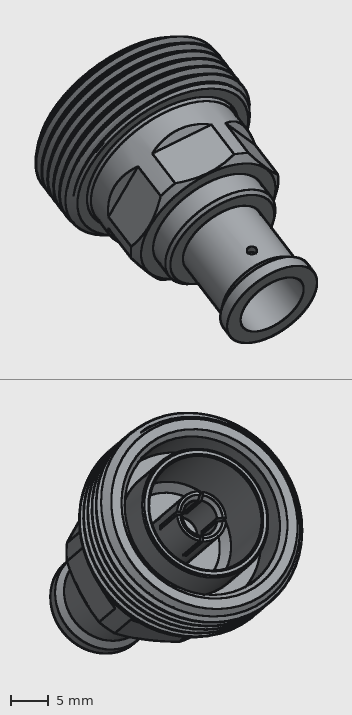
import cadquery as cq
import math

clearance = 0.4


length = 38.2
body_front = 0.5
thread_end = 10.55
neck_radius = 11.45
neck_relief = 0.5
neck_relief_rise = 0.3
hex_end = 22.05
hex_end_chamfer = 0.9
hex_end_radius = 10.43
collar_radius = 8.55
collar_end = 25.6
collar_chamfer = 0.5
tube_radius = 6.1
flare_start = 35.45
flare_radius = 7.0
flare_cone = 1.0

thread_diameter = 29.0
thread_radius = thread_diameter / 2
thread_root_radius = 13.68
six_pitch_length = 9.0
thread_pitch = six_pitch_length / 6
thread_flank_angle = 30.0
thread_crest_width = 0.23
thread_overlap = 0.1
thread_phase = 1.3
thread_face_radius = 13.25

hex_apothem = 10.5
hex_start = 15.35

groove_floor = 8.02
groove_radius = 11.05
groove_chamfer = 0.75
sleeve_radius = 8.98
sleeve_bore_radius = 8.0
sleeve_chamfer = 0.23
sleeve_bore_chamfer = 0.2
cavity_floor = 12.22
cavity_floor_radius = 6.85
cavity_cone_start = cavity_floor - (sleeve_bore_radius - cavity_floor_radius)

contact_front = 1.55
contact_radius = 3.48
contact_bore_radius = 2.45
contact_mouth_radius = 3.0
contact_bore_end = 9.15
slot_width = 0.45
slot_end = 7.65

cable_bore_radius = 4.9
cable_bore_depth = length - collar_end
vent_radius = 0.65
vent_x = 33.1


def turned(points):
    """Solid of revolution about X from (x, radius) points."""
    return cq.Workplane("XY").polyline(points).close().revolve(360, (0, 0, 0), (1, 0, 0))


def make_body():
    """Outer turned shape, with the threaded stretch at its root radius."""
    root_rise = thread_root_radius - thread_face_radius
    return turned([
        (0, 0),
        (0, sleeve_radius - sleeve_chamfer),
        (sleeve_chamfer, sleeve_radius),
        (body_front, sleeve_radius),
        (body_front, thread_face_radius),
        (body_front + root_rise, thread_root_radius),
        (thread_end - root_rise, thread_root_radius),
        (thread_end, thread_face_radius),
        (thread_end, neck_radius + neck_relief_rise),
        (thread_end + neck_relief, neck_radius),
        (hex_end - hex_end_chamfer, neck_radius),
        (hex_end, hex_end_radius),
        (hex_end, collar_radius),
        (collar_end - collar_chamfer, collar_radius),
        (collar_end, collar_radius - collar_chamfer),
        (collar_end, tube_radius),
        (flare_start, tube_radius),
        (flare_start + flare_cone, flare_radius),
        (length, flare_radius),
        (length, 0),
    ])


def make_thread():
    """Right-handed thread ridge, trimmed by the 45 degree end chamfers."""
    helix_start = thread_phase - 2 * thread_pitch
    helix_height = thread_end + thread_pitch - helix_start
    base_radius = thread_root_radius - thread_overlap
    ridge_height = thread_radius - base_radius
    crest_half = thread_crest_width / 2
    base_half = crest_half + ridge_height * math.tan(math.radians(thread_flank_angle))

    path = cq.Wire.makeHelix(thread_pitch, helix_height, base_radius)
    ridge = (
        cq.Workplane("XZ")
        .polyline([
            (base_radius, -base_half),
            (thread_radius, -crest_half),
            (thread_radius, crest_half),
            (base_radius, base_half),
        ])
        .close()
        .sweep(cq.Workplane(path), isFrenet=True)
        .rotate((0, 0, 0), (1, 1, 1), 120)
        .translate((helix_start, 0, 0))
    )
    rise = thread_radius - thread_face_radius + clearance
    inner_radius = base_radius - clearance
    envelope = turned([
        (body_front, inner_radius),
        (body_front, thread_face_radius),
        (body_front + rise, thread_face_radius + rise),
        (thread_end - rise, thread_face_radius + rise),
        (thread_end, thread_face_radius),
        (thread_end, inner_radius),
    ])
    return ridge.intersect(envelope)


def make_flat_cutter():
    """Cutter for the +Z wrench flat, with a 45 degree run-out towards the neck."""
    cut_height = neck_radius - hex_apothem + clearance
    return (
        cq.Workplane("XZ")
        .polyline([
            (hex_start, hex_apothem),
            (hex_end, hex_apothem),
            (hex_end, hex_apothem + cut_height),
            (hex_start - cut_height, hex_apothem + cut_height),
        ])
        .close()
        .extrude(neck_radius, both=True)
    )


def make_groove():
    """Ring-shaped groove between the contact sleeve and the threaded body."""
    return turned([
        (body_front, sleeve_radius),
        (groove_floor, sleeve_radius),
        (groove_floor, groove_radius),
        (body_front + groove_chamfer, groove_radius),
        (body_front, groove_radius + groove_chamfer),
    ])


def make_cavity():
    """Bore of the contact sleeve, leaving the centre contact standing on its floor."""
    return turned([
        (0, 0),
        (0, sleeve_bore_radius + sleeve_bore_chamfer),
        (sleeve_bore_chamfer, sleeve_bore_radius),
        (cavity_cone_start, sleeve_bore_radius),
        (cavity_floor, cavity_floor_radius),
        (cavity_floor, contact_radius),
        (contact_front, contact_radius),
        (contact_front, 0),
    ])


def make_contact_bore():
    """Blind bore of the centre contact with a flared mouth."""
    return turned([
        (contact_front, 0),
        (contact_front, contact_mouth_radius),
        (contact_front + contact_mouth_radius - contact_bore_radius, contact_bore_radius),
        (contact_bore_end, contact_bore_radius),
        (contact_bore_end, 0),
    ])


def make_contact_slot():
    """Slot across the full width of the centre contact, in the Z direction."""
    slot_length = slot_end - contact_front
    return (
        cq.Workplane("XY")
        .box(slot_length, slot_width, 2 * contact_radius)
        .translate((contact_front + slot_length / 2, 0, 0))
    )


part = make_body().union(make_thread())

flat_cutter = make_flat_cutter()
for side in range(6):
    part = part.cut(flat_cutter.rotate((0, 0, 0), (1, 0, 0), 60 * side))

part = part.cut(make_groove()).cut(make_cavity()).cut(make_contact_bore())

contact_slot = make_contact_slot()
for angle in (0, 90):
    part = part.cut(contact_slot.rotate((0, 0, 0), (1, 0, 0), angle))

cable_bore = (
    cq.Workplane("YZ", origin=(length, 0, 0))
    .circle(cable_bore_radius)
    .extrude(-cable_bore_depth)
)
vent_hole = cq.Workplane("XY").center(vent_x, 0).circle(vent_radius).extrude(tube_radius)
result = part.cut(cable_bore).cut(vent_hole)